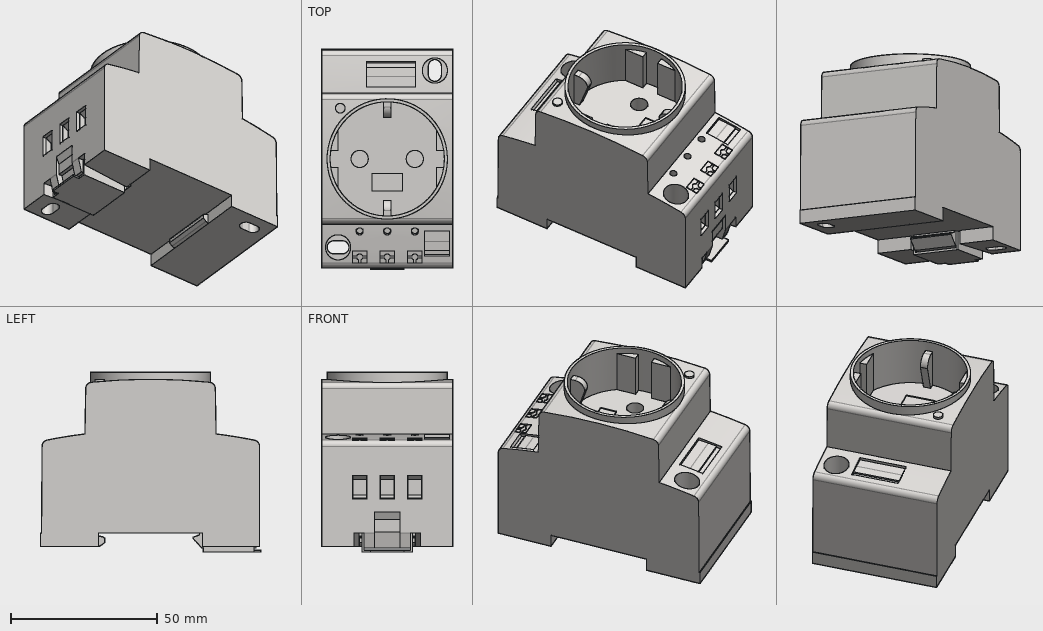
import cadquery as cq
import math


width = 45.0
overall_length = 75.5
half_length = 37.4
rear_top_half_length = 37.1
shoulder_half_length = 22.5
crown_half_length = 22.2
crown_apex_z = 57.3
crown_radius = 200
shoulder_apex_z = 40.0
arc_center_z = crown_apex_z - crown_radius
shoulder_radius = shoulder_apex_z - arc_center_z
crown_round = 2.1
shoulder_round = 2.2
rail_slot_height = 4.7
rail_half_width = 17.75
rear_foot_y = 37.7

rim_radius = 20.6
cup_radius = 19.55
rim_top_z = 59.8
rim_base_z = 52.8
cup_floor_z = 42.3
guide_inner_x = 16.8
guide_gap = 5.9
guide_top_z = 57.5
pin_radius = 2.95
pin_spacing = 18.9
pin_depth = 11.3
plate_size = (10.4, 5.9)
plate_center_y = -8.0
plate_depth = 0.4

contact_width = 2.6
contact_top_z = 56.1
contact_flat_y = 17.75
contact_nose_radius = 3.55
contact_foot_y = 17.4

lamp_x, lamp_y = -16.1, 17.35
lamp_radius = 1.65
lamp_top_z = 57.2

bore_radius = 4.3
bore_floor_z = 7.55
slot_length = 7.4
slot_width = 4.4
front_bore = (-16.8, -30.3)
rear_bore = (16.3, 30.3)

window_inner_y = 24.7
window_fold_y = 28.2
window_step_y = 31.3
window_lip_y = 32.75
window_outer_y = 33.3
window_inner_depth = 0.9
window_step_depth = 0.6
window_trough_depth = 1.1
front_window_x = (12.8, 21.35)
rear_window_x = (-7.0, 9.7)

terminal_pitch = 9.4
terminal_width = 5.0
entry_bottom_z, entry_top_z = 16.4, 24.4
entry_back_bottom_z, entry_back_top_z = 17.75, 23.0
entry_riser = 0.2
entry_straight_depth = 1.3
entry_depth = 3.4
entry_back_width = 4.7
test_hole_radius = 1.2
test_hole_y = -24.8
test_hole_depth = 3.8
screw_inner_y, screw_outer_y = -31.55, -35.6
screw_base_z = 30.2
screw_recess_depth = 0.2
screw_groove_depth = 0.5
screw_bar_y, screw_bar_width = -33.6, 0.75
screw_stem_width = 0.9
screw_dome_radius = 1.05

clip_half_width = 8.7
clip_wall = 0.75
clip_bottom_z = -1.9
clip_front_y, clip_rear_y = -35.5, -18.0
clip_web_bottom_z = -0.5
clip_web_lean = 1.3
tab_half_width = 5.7
tab_front_y = rear_foot_y - overall_length
channel_front_half_width, channel_rear_half_width = 11.3, 9.6
hook_tip_y = -14.5
hook_neck_y = -16.75
hook_neck_z = 4.1
hook_tip_top_z, hook_tip_bottom_z = 3.25, 2.9
hook_heel_y = -17.6

rear_hook_half_width = 9.4
rear_hook_tip_y, rear_hook_shoulder_y, rear_hook_heel_y = 15.6, 16.4, 16.75
rear_hook_root_z, rear_hook_shoulder_z, rear_hook_heel_z = 3.7, 3.4, 0.5
rear_hook_tip_top_z, rear_hook_tip_bottom_z = 2.95, 1.4

tool_half_width = 4.4
tool_top_z, tool_face_top_z, tool_face_bottom_z = 11.9, 9.3, 5.05
tool_face_depth = 1.1
tool_under_depth = 2.4


def arc_z(radius, y):
    """Height of the crown or shoulder arc at a given y."""
    return arc_center_z + math.sqrt(radius**2 - y**2)


def span(x0, x1, y0, y1, z0, z1):
    """Box between two opposite corners."""
    return cq.Workplane("XY").box(x1 - x0, y1 - y0, z1 - z0, centered=False).translate((x0, y0, z0))


def cylinder(radius, z0, z1, x=0, y=0):
    return cq.Workplane("XY", origin=(x, y, z0)).circle(radius).extrude(z1 - z0)


def side_prism(points, x0, x1):
    """Prism with a (y, z) outline running from x0 to x1."""
    return cq.Workplane("YZ", origin=(x0, 0, 0)).polyline(points).close().extrude(x1 - x0)


def make_housing():
    def arc_point(radius, y):
        return (y, arc_z(radius, y))

    shoulder_mid = (shoulder_half_length + half_length) / 2
    outline = (
        cq.Workplane("YZ", origin=(-width / 2, 0, 0))
        .moveTo(-half_length, 0)
        .lineTo(*arc_point(shoulder_radius, -half_length))
        .threePointArc(arc_point(shoulder_radius, -shoulder_mid),
                       arc_point(shoulder_radius, -shoulder_half_length))
        .lineTo(*arc_point(crown_radius, -crown_half_length))
        .threePointArc((0, crown_apex_z), arc_point(crown_radius, crown_half_length))
        .lineTo(*arc_point(shoulder_radius, shoulder_half_length))
        .threePointArc(arc_point(shoulder_radius, shoulder_mid),
                       arc_point(shoulder_radius, rear_top_half_length))
        .lineTo(half_length, rail_slot_height)
        .lineTo(rear_foot_y, rail_slot_height)
        .lineTo(rear_foot_y, 0)
        .lineTo(rail_half_width, 0)
        .lineTo(rail_half_width, rail_slot_height)
        .lineTo(-rail_half_width, rail_slot_height)
        .lineTo(-rail_half_width, 0)
        .close()
    )
    body = outline.extrude(width)
    for radius, y, edge_round in (
        (shoulder_radius, -half_length, shoulder_round),
        (shoulder_radius, rear_top_half_length, shoulder_round),
        (crown_radius, -crown_half_length, crown_round),
        (crown_radius, crown_half_length, crown_round),
    ):
        corner = (0, y, arc_z(radius, y))
        body = body.edges(cq.selectors.NearestToPointSelector(corner)).fillet(edge_round)
    return body


def make_earth_contact():
    """Contact spring on the +Y wall of the cup, with a rounded nose."""
    nose_z = contact_top_z - contact_nose_radius
    diagonal = contact_nose_radius * math.sqrt(0.5)
    blade = (
        cq.Workplane("YZ", origin=(-contact_width / 2, 0, 0))
        .moveTo(rim_radius, contact_top_z)
        .lineTo(contact_flat_y, contact_top_z)
        .threePointArc((contact_flat_y - diagonal, nose_z + diagonal),
                       (contact_flat_y - contact_nose_radius, nose_z))
        .lineTo(contact_foot_y, cup_floor_z)
        .lineTo(rim_radius, cup_floor_z)
        .close()
        .extrude(contact_width)
    )
    return blade.intersect(cylinder(rim_radius, cup_floor_z, rim_top_z))


def add_socket(body):
    body = body.union(cylinder(rim_radius, rim_base_z, rim_top_z))
    body = body.cut(cylinder(cup_radius, cup_floor_z, rim_top_z))

    guides = cylinder(rim_radius, cup_floor_z, guide_top_z)
    guides = guides.cut(span(-guide_inner_x, guide_inner_x, -rim_radius, rim_radius, cup_floor_z, rim_top_z))
    guides = guides.cut(span(-rim_radius, rim_radius, -guide_gap / 2, guide_gap / 2, cup_floor_z, rim_top_z))
    body = body.union(guides)

    contact = make_earth_contact()
    body = body.union(contact).union(contact.mirror("XZ"))

    for x in (-pin_spacing / 2, pin_spacing / 2):
        body = body.cut(cylinder(pin_radius, cup_floor_z - pin_depth, cup_floor_z, x))
    plate = cq.Workplane("XY", origin=(0, plate_center_y, cup_floor_z)).rect(*plate_size).extrude(-plate_depth)
    return body.cut(plate)


def mounting_hole(center, slot_angle):
    """Round counterbore with an elongated hole through its floor."""
    x, y = center
    bore = cylinder(bore_radius, bore_floor_z, crown_apex_z, x, y)
    slot = cq.Workplane("XY", origin=(x, y, 0)).slot2D(slot_length, slot_width, slot_angle).extrude(bore_floor_z)
    return bore.union(slot)


def label_window(x_range, side):
    """Stepped recess in a shoulder; side is -1 at the front and 1 at the rear."""
    def below_surface(y, depth):
        return (side * y, arc_z(shoulder_radius, y) - depth)

    fold_depth = (window_inner_depth + window_step_depth) / 2
    profile = [
        (side * window_inner_y, shoulder_apex_z),
        below_surface(window_inner_y, window_inner_depth),
        below_surface(window_fold_y, fold_depth),
        below_surface(window_step_y, window_step_depth),
        below_surface(window_step_y, window_trough_depth),
        below_surface(window_lip_y, window_trough_depth),
        below_surface(window_outer_y, 0),
        (side * window_outer_y, shoulder_apex_z),
    ]
    return side_prism(profile, *x_range)


def wire_entry(x):
    """Rectangular wire opening in the front face that narrows towards its back."""
    straight_y = entry_straight_depth - half_length
    back_y = entry_depth - half_length
    opening = span(x - terminal_width / 2, x + terminal_width / 2, -half_length, straight_y,
                   entry_bottom_z, entry_top_z)
    funnel = side_prism([
        (straight_y, entry_bottom_z + entry_riser),
        (back_y, entry_back_bottom_z),
        (back_y, entry_back_top_z),
        (straight_y, entry_top_z),
    ], x - entry_back_width / 2, x + entry_back_width / 2)
    return opening.union(funnel)


def shoulder_recess(prism, depth):
    """Part of an upright prism that lies less than depth below the shoulder arc."""
    core = (
        cq.Workplane("YZ", origin=(-width / 2, 0, arc_center_z))
        .circle(shoulder_radius - depth)
        .extrude(width)
    )
    return prism.cut(core)


def terminal_screw(x):
    """Shallow recess with a deeper screw-shaped groove pattern in its floor."""
    x0, x1 = x - terminal_width / 2, x + terminal_width / 2
    recess = span(x0, x1, screw_outer_y, screw_inner_y, screw_base_z, shoulder_apex_z)
    bar = span(x0, x1, screw_bar_y - screw_bar_width / 2, screw_bar_y + screw_bar_width / 2,
               screw_base_z, shoulder_apex_z)
    stem = span(x - screw_stem_width / 2, x + screw_stem_width / 2, screw_outer_y, screw_bar_y,
                screw_base_z, shoulder_apex_z)
    dome = cylinder(screw_dome_radius, screw_base_z, shoulder_apex_z, x, screw_bar_y)
    groove = bar.union(stem).union(dome)
    return shoulder_recess(recess, screw_recess_depth).union(shoulder_recess(groove, screw_groove_depth))


def test_hole(x):
    """Round hole square to the front shoulder."""
    normal = (0, test_hole_y, math.sqrt(shoulder_radius**2 - test_hole_y**2))
    surface_point = (x, test_hole_y, arc_z(shoulder_radius, test_hole_y))
    plane = cq.Plane(origin=surface_point, xDir=(1, 0, 0), normal=normal)
    return cq.Workplane(plane).circle(test_hole_radius).extrude(test_hole_depth, both=True)


def cut_terminals(body):
    for x in (-terminal_pitch, 0, terminal_pitch):
        body = body.cut(wire_entry(x))
        body = body.cut(terminal_screw(x))
        body = body.cut(test_hole(x))
    return body


def cut_clip_channel(body):
    channel = (
        cq.Workplane("XY")
        .polyline([
            (-channel_front_half_width, -half_length),
            (channel_front_half_width, -half_length),
            (channel_rear_half_width, -rail_half_width),
            (-channel_rear_half_width, -rail_half_width),
        ])
        .close()
        .extrude(rail_slot_height)
    )
    return body.cut(channel)


def make_clip():
    """Sliding clip: hooked web between two side walls, over a bottom plate with a pull tab."""
    inner_half_width = clip_half_width - clip_wall
    plate_top_z = clip_bottom_z + clip_wall
    web = side_prism([
        (-half_length, rail_slot_height),
        (hook_neck_y, rail_slot_height),
        (hook_neck_y, hook_neck_z),
        (hook_tip_y, hook_tip_top_z),
        (hook_tip_y, hook_tip_bottom_z),
        (hook_heel_y, clip_web_bottom_z),
        (clip_web_lean - half_length, clip_web_bottom_z),
    ], -inner_half_width, inner_half_width)
    walls = span(-clip_half_width, clip_half_width, clip_front_y, clip_rear_y, clip_bottom_z, rail_slot_height)
    walls = walls.cut(span(-inner_half_width, inner_half_width, clip_front_y, clip_rear_y,
                           plate_top_z, rail_slot_height))
    tab = span(-tab_half_width, tab_half_width, tab_front_y, clip_front_y, clip_bottom_z, plate_top_z)
    return web.union(walls).union(tab)


def tool_recess():
    """Screwdriver recess that runs down the front face into the clip web."""
    return side_prism([
        (-half_length, tool_top_z),
        (tool_face_depth - half_length, tool_face_top_z),
        (tool_face_depth - half_length, tool_face_bottom_z),
        (tool_under_depth - half_length, tool_face_bottom_z),
        (tool_under_depth + clip_web_lean - half_length, clip_web_bottom_z),
        (-half_length, clip_web_bottom_z),
    ], -tool_half_width, tool_half_width)


def make_rear_hook():
    """Fixed rail hook on the rear leg."""
    return side_prism([
        (rail_half_width, rear_hook_root_z),
        (rear_hook_shoulder_y, rear_hook_shoulder_z),
        (rear_hook_tip_y, rear_hook_tip_top_z),
        (rear_hook_tip_y, rear_hook_tip_bottom_z),
        (rear_hook_heel_y, rear_hook_heel_z),
        (rail_half_width, 0),
    ], -rear_hook_half_width, rear_hook_half_width)


result = add_socket(make_housing())
result = result.union(cylinder(lamp_radius, rim_base_z, lamp_top_z, lamp_x, lamp_y))
result = result.cut(mounting_hole(front_bore, 0)).cut(mounting_hole(rear_bore, 90))
result = result.cut(label_window(front_window_x, -1)).cut(label_window(rear_window_x, 1))
result = cut_terminals(result)
result = cut_clip_channel(result).union(make_clip()).union(make_rear_hook())
result = result.cut(tool_recess())